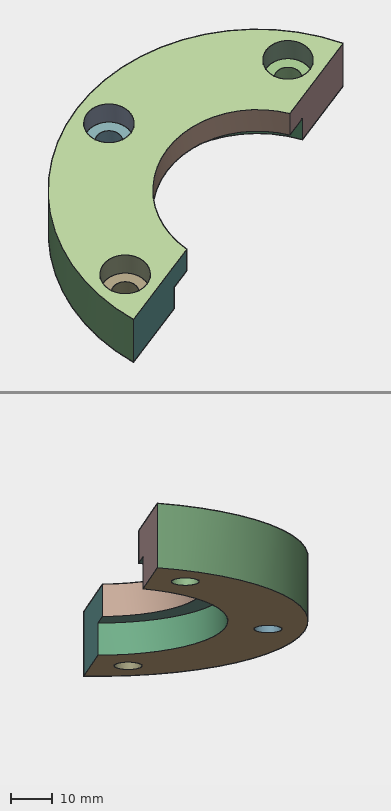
import cadquery as cq
import math

length = 99.5
width = 44.8
thickness = 16.0

half_length = length / 2
outer_radius = (half_length**2 + width**2) / (2 * width)
inner_radius = 25.0

recess_radius = 30.8
recess_depth = 8.0

cut_x = width - outer_radius

bolt_circle_radius = 41.1
bolt_spacing_angle = 70.0
hole_diameter = 6.7
counterbore_diameter = 12.0
counterbore_depth = 6.8


def ring_segment():
    """Ring with a wider bore underneath, keeping only the part left of the cut face."""
    ring = cq.Workplane("XY").circle(outer_radius).circle(inner_radius).extrude(thickness)
    recess = cq.Workplane("XY").circle(recess_radius).extrude(recess_depth)
    keep = (
        cq.Workplane("XY")
        .box(2 * outer_radius, 2 * outer_radius, thickness, centered=(False, True, False))
        .translate((cut_x - 2 * outer_radius, 0, 0))
    )
    return ring.cut(recess).intersect(keep)


def bolt_positions():
    """Hole centres on the bolt circle, the middle one on the -X axis."""
    positions = []
    for step in (-1, 0, 1):
        angle = math.radians(180 + step * bolt_spacing_angle)
        positions.append((bolt_circle_radius * math.cos(angle), bolt_circle_radius * math.sin(angle)))
    return positions


result = (
    ring_segment()
    .faces(">Z")
    .workplane(origin=(0, 0, thickness))
    .pushPoints(bolt_positions())
    .cboreHole(hole_diameter, counterbore_diameter, counterbore_depth)
)